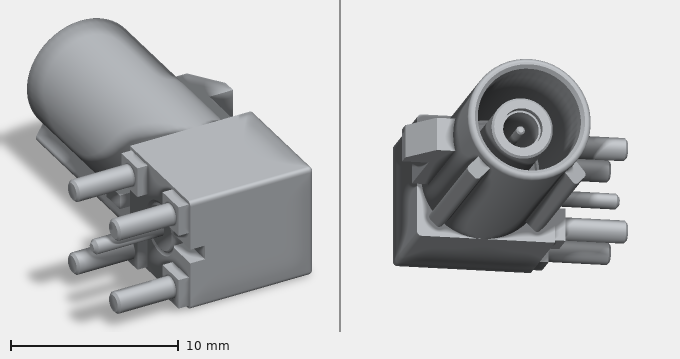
import cadquery as cq


total_length = 21.65
total_height_y = 15.3
sleeve_diameter = 7.5
sleeve_radius = sleeve_diameter / 2
shell_length = 12.51

housing_length = 7.47
housing_start = total_length - housing_length
housing_center_x = total_length - housing_length / 2
housing_top_y = 3.98
housing_bottom_y = -4.42
housing_fillet = 0.28

mouth_fillet = 0.25
socket_radius = 3.15
mouth_chamfer = 0.22
barrel_radius = 2.99
barrel_chamfer = 0.17
barrel_step = 0.22
barrel_face_x = shell_length - barrel_step
recess_radius = 2.08
recess_depth = 0.22
tube_radius = 1.86
tube_chamfer = 0.13
tube_front_x = 2.2
tube_bore_radius = 1.21
insulator_radius = 1.08
insulator_setback = 0.5
insulator_front_x = tube_front_x + insulator_setback
contact_radius = 0.25
contact_chamfer = 0.1

latch_start_x = 4.6
latch_peak_start_x = 6.67
latch_peak_end_x = 7.58
latch_nose_y = 4.75
latch_rail_y = 4.63
latch_peak_y = 6.24
latch_width = 2.0

rib_width = 1.0
rib_radius = 4.72
rib_fillet = 0.24
rib_root_sink = 0.4
rib_root_radius = sleeve_radius - rib_root_sink
rib_start_x = 0.78
rib_front_slant = 0.28
rib_angles = (-45, -135)

pin_pitch = 5.09
foot_size = 2.0
foot_bottom_y = -5.1
post_radius = 0.7
post_chamfer = 0.15
post_end_y = -9.0
signal_pin_radius = 0.48
signal_pin_chamfer = 0.22
signal_pin_end_y = latch_peak_y - total_height_y
tab_width = 0.95

plug_hole_radius = 1.75
plug_radius = 1.55
plug_chamfer = 0.13
slot_depth = 1.0


def cylinder_x(radius, start, end):
    return cq.Workplane("YZ", origin=(start, 0, 0)).circle(radius).extrude(end - start)


def cylinder_down(radius, x, z, top_y, bottom_y):
    plane = cq.Workplane("XZ", origin=(x, top_y, z))
    return plane.circle(radius).extrude(top_y - bottom_y)


def block(x_range, y_range, z_center, z_width):
    corner = (x_range[0], y_range[0], z_center - z_width / 2)
    size = (x_range[1] - x_range[0], y_range[1] - y_range[0], z_width)
    return cq.Workplane("XY").box(*size, centered=False).translate(corner)


def make_housing():
    housing = block((housing_start, total_length), (housing_bottom_y, housing_top_y), 0, sleeve_diameter)
    edges = housing.edges("(>X or >Y) and (not <X) and (not <Y)")
    return edges.fillet(housing_fillet)


def make_sleeve():
    return cylinder_x(sleeve_radius, 0, housing_start).faces("<X").edges().fillet(mouth_fillet)


def make_latch():
    profile = [
        (latch_start_x, 0),
        (latch_start_x, latch_nose_y),
        (latch_peak_start_x, latch_peak_y),
        (latch_peak_end_x, latch_peak_y),
        (latch_peak_end_x, latch_rail_y),
        (shell_length, latch_rail_y),
        (shell_length, 0),
    ]
    return cq.Workplane("XY").polyline(profile).close().extrude(latch_width / 2, both=True)


def make_rib(angle):
    profile = [
        (rib_start_x, rib_root_radius),
        (rib_start_x, sleeve_radius),
        (rib_start_x + rib_front_slant, rib_radius),
        (shell_length, rib_radius),
        (shell_length, rib_root_radius),
    ]
    rib = cq.Workplane("XY").polyline(profile).close().extrude(rib_width / 2, both=True)
    rib = rib.faces(">Y").edges("|X").fillet(rib_fillet)
    return rib.rotate((0, 0, 0), (1, 0, 0), angle)


def make_socket():
    """Ring-shaped cavity around the centre tube, with the bore of that tube."""
    profile = [
        (0, 0),
        (0, socket_radius + mouth_chamfer),
        (mouth_chamfer, socket_radius),
        (shell_length, socket_radius),
        (shell_length, barrel_radius),
        (barrel_face_x + barrel_chamfer, barrel_radius),
        (barrel_face_x, barrel_radius - barrel_chamfer),
        (barrel_face_x, recess_radius),
        (barrel_face_x + recess_depth, tube_radius),
        (tube_front_x + tube_chamfer, tube_radius),
        (tube_front_x, tube_radius - tube_chamfer),
        (tube_front_x, tube_bore_radius),
        (insulator_front_x, tube_bore_radius),
        (insulator_front_x, insulator_radius),
        (shell_length, insulator_radius),
        (shell_length, contact_radius),
        (insulator_front_x + contact_chamfer, contact_radius),
        (insulator_front_x, contact_radius - contact_chamfer),
        (insulator_front_x, 0),
    ]
    return cq.Workplane("XY").polyline(profile).close().revolve(360, (0, 0, 0), (1, 0, 0))


def make_foot(x, z):
    half = foot_size / 2
    foot = block((x - half, x + half), (foot_bottom_y, housing_bottom_y), z, foot_size)
    post = cylinder_down(post_radius, x, z, foot_bottom_y, post_end_y)
    return foot.union(post.faces("<Y").edges().chamfer(post_chamfer))


def make_tab():
    """Block on the underside of the sleeve, just in front of the housing."""
    return block((shell_length, housing_start), (foot_bottom_y, -socket_radius), 0, tab_width)


def make_signal_pin():
    pin = cylinder_down(signal_pin_radius, housing_center_x, 0, housing_bottom_y, signal_pin_end_y)
    return pin.faces("<Y").edges().chamfer(signal_pin_chamfer)


def make_plug_groove():
    """V-shaped groove between the bevelled plug and its countersunk hole."""
    profile = [
        (plug_radius - plug_chamfer, housing_bottom_y),
        (plug_radius, housing_bottom_y + plug_chamfer),
        (plug_hole_radius, housing_bottom_y),
    ]
    groove = cq.Workplane("XY").polyline(profile).close().revolve(360, (0, 0, 0), (0, 1, 0))
    return groove.translate((housing_center_x, 0, 0))


def make_slot():
    """Slot in the underside, from the plug out through the back."""
    y_range = (housing_bottom_y, housing_bottom_y + slot_depth)
    slot = block((housing_center_x, total_length), y_range, 0, tab_width)
    plug = cylinder_down(plug_radius, housing_center_x, 0, y_range[1], y_range[0])
    return slot.cut(plug)


body = make_housing().union(make_sleeve()).union(make_latch())
for rib_angle in rib_angles:
    body = body.union(make_rib(rib_angle))
body = body.cut(make_socket()).cut(make_plug_groove()).cut(make_slot())

body = body.union(make_tab())
for x_side in (-1, 1):
    for z_side in (-1, 1):
        body = body.union(make_foot(housing_center_x + x_side * pin_pitch / 2, z_side * pin_pitch / 2))
result = body.union(make_signal_pin())